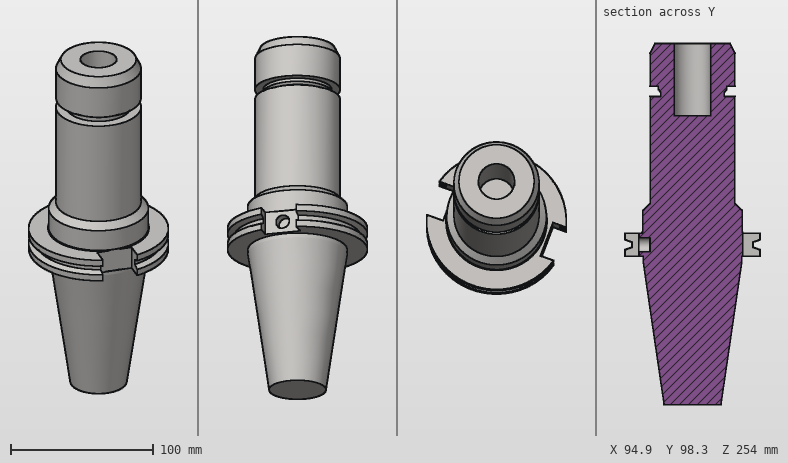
import cadquery as cq

total_height = 254.0
taper_length = 101.3
flange_bottom = 104.5
flange_top = 120.6
seat_top = 121.2
collar_top = 136.7
shank_bottom = 141.5
shank_top = 216.7
nut_bottom = 223.8
nut_chamfer_bottom = 247.0

small_end_radius = 20.0
taper_radius = 34.92
flange_diameter = 98.3
flange_radius = flange_diameter / 2
seat_radius = 35.5
collar_radius = 35.0
shank_radius = 30.0
nut_radius = 30.0
nut_face_radius = 26.5
bore_radius = 12.7
bore_depth = 50.8

groove_radius = 44.5
groove_center = (flange_bottom + flange_top) / 2
groove_mouth_width = 6.9
groove_floor_width = 3.5

relief_radius = 22.5
relief_rim_radius = 24.1
relief_height = 3.0
relief_rim_bottom = 221.5

slot_width = 25.5
slot_floor_left = 37.5
slot_floor_right = 35.3
drive_hole_radius = 4.8
drive_hole_depth = 7.5


def make_body():
    mouth = groove_mouth_width / 2
    floor = groove_floor_width / 2
    profile = [
        (0, 0),
        (small_end_radius, 0),
        (taper_radius, taper_length),
        (taper_radius, flange_bottom),
        (flange_radius, flange_bottom),
        (flange_radius, groove_center - mouth),
        (groove_radius, groove_center - floor),
        (groove_radius, groove_center + floor),
        (flange_radius, groove_center + mouth),
        (flange_radius, flange_top),
        (seat_radius, flange_top),
        (seat_radius, seat_top),
        (collar_radius, seat_top),
        (collar_radius, collar_top),
        (shank_radius, shank_bottom),
        (shank_radius, shank_top),
        (relief_radius, shank_top),
        (relief_radius, shank_top + relief_height),
        (relief_rim_radius, relief_rim_bottom),
        (relief_rim_radius, nut_bottom),
        (nut_radius, nut_bottom),
        (nut_radius, nut_chamfer_bottom),
        (nut_face_radius, total_height),
        (0, total_height),
    ]
    return cq.Workplane("XZ").polyline(profile).close().revolve(360, (0, 0), (0, 1))


def make_bore():
    return cq.Workplane("XY").workplane(offset=total_height - bore_depth).circle(bore_radius).extrude(bore_depth)


def make_drive_slot(side, floor_distance):
    """Slot through the flange and the collar seat, with side = -1 or +1 along X."""
    depth = flange_radius - floor_distance
    height = seat_top - flange_bottom
    center_x = side * (floor_distance + depth / 2)
    center_z = (flange_bottom + seat_top) / 2
    return cq.Workplane("XY").box(depth, slot_width, height).translate((center_x, 0, center_z))


def make_drive_hole():
    """Blind hole in the floor of the -X slot."""
    return (
        cq.Workplane("YZ", origin=(-slot_floor_left, 0, groove_center))
        .circle(drive_hole_radius)
        .extrude(drive_hole_depth)
    )


result = (
    make_body()
    .cut(make_bore())
    .cut(make_drive_slot(-1, slot_floor_left))
    .cut(make_drive_slot(1, slot_floor_right))
    .cut(make_drive_hole())
)